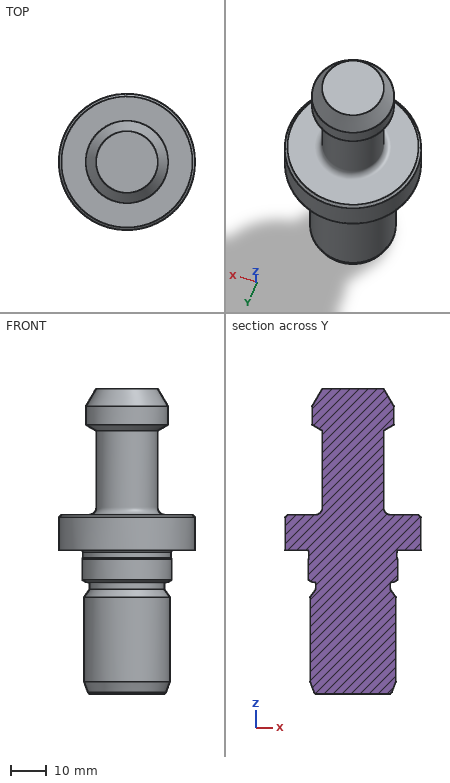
import cadquery as cq

total_height = 85.0
flange_bottom = 40.0
flange_top = 50.0
head_taper_height = 4.9
head_band_height = 5.1
head_underside_height = 1.7

shank_radius = 12.0
groove_radius = 10.45
collar_radius = 12.5
flange_radius = 38.0 / 2
neck_radius = 8.6
head_radius = 11.5

tip_radius = 10.9
tip_taper_height = 3.5
tip_chamfer = 0.5
shank_top = 27.0
groove_bottom = 29.15
groove_top = 31.1
collar_chamfer_width = 1.1
collar_chamfer_height = 0.7
groove_fillet = 0.4

relief_depth = 0.2
relief_taper = 0.5
relief_bottom = 38.0
flange_chamfer = 0.8
neck_fillet = 1.95

head_top_band = total_height - head_taper_height
head_bottom_band = head_top_band - head_band_height
neck_top = head_bottom_band - head_underside_height
relief_radius = collar_radius - relief_depth

profile = (
    cq.Workplane("XZ")
    .lineTo(tip_radius - tip_chamfer, 0)
    .lineTo(tip_radius, tip_chamfer)
    .lineTo(shank_radius, tip_taper_height)
    .lineTo(shank_radius, shank_top)
    .lineTo(groove_radius, groove_bottom)
    .lineTo(groove_radius, groove_top - groove_fillet)
    .radiusArc((groove_radius + groove_fillet, groove_top), groove_fillet)
    .lineTo(collar_radius - collar_chamfer_width, groove_top)
    .lineTo(collar_radius, groove_top + collar_chamfer_height)
    .lineTo(collar_radius, relief_bottom - relief_taper)
    .lineTo(relief_radius, relief_bottom)
    .lineTo(relief_radius, flange_bottom - relief_taper)
    .lineTo(collar_radius, flange_bottom)
    .lineTo(flange_radius, flange_bottom)
    .lineTo(flange_radius, flange_top - flange_chamfer)
    .lineTo(flange_radius - flange_chamfer, flange_top)
    .lineTo(neck_radius + neck_fillet, flange_top)
    .radiusArc((neck_radius, flange_top + neck_fillet), neck_fillet)
    .lineTo(neck_radius, neck_top)
    .lineTo(head_radius, head_bottom_band)
    .lineTo(head_radius, head_top_band)
    .lineTo(neck_radius, total_height)
    .lineTo(0, total_height)
    .close()
)

result = profile.revolve(360, (0, 0, 0), (0, 1, 0))